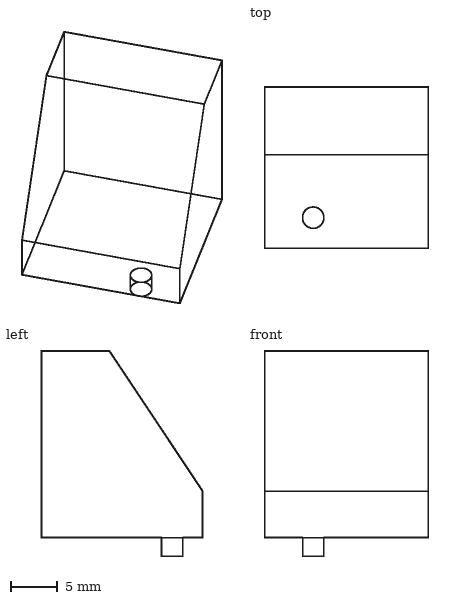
import cadquery as cq

width = 17.51
depth = 17.27
total_height = 22.0

pin_length = 2.0
body_height = total_height - pin_length
front_height = 5.0
slope_run = 9.99

pin_diameter = 2.29
pin_from_left = 5.2
pin_from_front = 3.28


def make_block():
    """Block with its underside at Z = 0 and a slope falling to the front face."""
    return (
        cq.Workplane("YZ")
        .moveTo(0, 0)
        .lineTo(depth, 0)
        .lineTo(depth, body_height)
        .lineTo(slope_run, body_height)
        .lineTo(0, front_height)
        .close()
        .extrude(width)
    )


def make_pin():
    """Round pin hanging below the underside."""
    return (
        cq.Workplane("XY")
        .center(pin_from_left, pin_from_front)
        .circle(pin_diameter / 2)
        .extrude(-pin_length)
    )


result = make_block().union(make_pin())